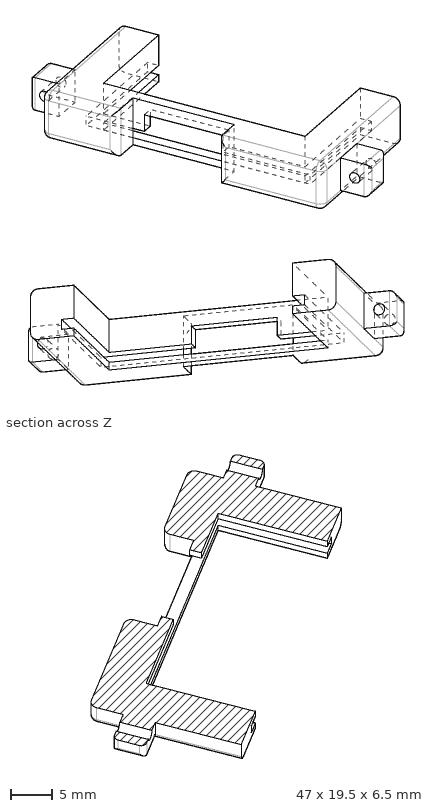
import cadquery as cq

overall_length = 47.0
body_length = 39.0
body_depth = 19.5
body_height = 6.5
wall_width = 5.55
edge_radius = 1.0

gap_center_x = -2.0
gap_width = 14.0
foot_depth = 4.0

floor_thickness = 1.0
groove_height = 1.25
groove_depth = wall_width - foot_depth
window_width = 10.9
window_top = 4.55

tab_front = 4.35
tab_width = 4.15
tab_height = body_height - 2 * edge_radius
tab_radius = 0.7
hole_diameter = 1.4
hole_inset = 2.0

half_body = body_length / 2
inner_length = body_length - 2 * wall_width


def block(center_x, length, front, back, bottom, top):
    """Box centred on center_x, spanning front to back and bottom to top."""
    return (
        cq.Workplane("XY")
        .box(length, back - front, top - bottom, centered=(True, False, False))
        .translate((center_x, front, bottom))
    )


def make_frame():
    """U-shaped body with two front feet and rounded outer edges."""
    blank = block(0, body_length, 0, body_depth, 0, body_height)
    gap = block(gap_center_x, gap_width, 0, foot_depth, 0, body_height)
    frame = blank.cut(gap)
    frame = frame.edges("<Y or ((<X or >X) and (not >Y))").fillet(edge_radius)
    return frame.cut(block(0, inner_length, wall_width, body_depth, 0, body_height))


def make_groove():
    """Groove let into the arms and cut right through the bridge."""
    length = inner_length + 2 * groove_depth
    groove_top = floor_thickness + groove_height
    return block(0, length, foot_depth, body_depth, floor_thickness, groove_top)


def make_window():
    """Opening through the bridge above the groove."""
    return block(gap_center_x, window_width, foot_depth, wall_width, floor_thickness, window_top)


def make_tab(side):
    """Tab on one side (-1 or 1) with a rounded end and a cross hole."""
    tab_length = overall_length / 2 - half_body
    tab = block(
        side * (half_body + tab_length / 2),
        tab_length,
        tab_front,
        tab_front + tab_width,
        edge_radius,
        edge_radius + tab_height,
    )
    tab = tab.faces(">X" if side > 0 else "<X").edges().fillet(tab_radius)
    hole = (
        cq.Workplane("XZ", origin=(0, tab_front + tab_width, 0))
        .center(side * (overall_length / 2 - hole_inset), body_height / 2)
        .circle(hole_diameter / 2)
        .extrude(tab_width)
    )
    return tab.cut(hole)


result = make_frame().cut(make_groove()).cut(make_window())
for side in (-1, 1):
    result = result.union(make_tab(side))